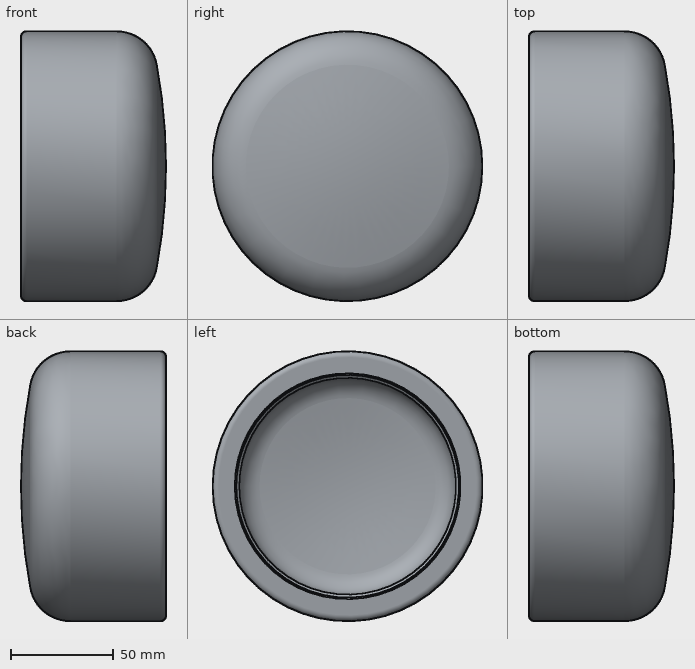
import cadquery as cq
import math

outer_radius = 66.0
length = 71.0
rim_fillet = 2.9
shoulder_radius = 20.0
crown_radius = 271.9

bore_radius = 54.4
mouth_chamfer = 0.8
bore_depth = 41.3
step_fillet = 2.1
seat_radius = 53.0
cavity_corner_radius = 12.0
crown_wall = 14.0
cavity_crown_radius = crown_radius - crown_wall


def domed_cylinder(radius, apex_x, corner_radius, dome_radius):
    """Solid from x = 0 whose side blends tangentially into a shallow dome."""
    dome_center_x = apex_x - dome_radius
    corner_center_r = radius - corner_radius
    center_distance = dome_radius - corner_radius
    angle = math.asin(corner_center_r / center_distance)
    corner_center_x = dome_center_x + center_distance * math.cos(angle)

    def corner_point(direction):
        return (
            corner_center_x + corner_radius * math.cos(direction),
            corner_center_r + corner_radius * math.sin(direction),
        )

    dome_middle = (
        dome_center_x + dome_radius * math.cos(angle / 2),
        dome_radius * math.sin(angle / 2),
    )
    return (
        cq.Workplane("XY")
        .moveTo(0, 0)
        .lineTo(0, radius)
        .lineTo(corner_center_x, radius)
        .threePointArc(corner_point((angle + math.pi / 2) / 2), corner_point(angle))
        .threePointArc(dome_middle, (apex_x, 0))
        .close()
        .revolve(360, (0, 0, 0), (1, 0, 0))
    )


def outer_body():
    body = domed_cylinder(outer_radius, length, shoulder_radius, crown_radius)
    return body.faces("<X").edges().fillet(rim_fillet)


def cavity():
    inner_dome = domed_cylinder(
        seat_radius, length - crown_wall, cavity_corner_radius, cavity_crown_radius
    )
    bore = cq.Workplane("YZ").circle(bore_radius).extrude(bore_depth + step_fillet)
    bore = bore.faces(">X").edges().fillet(step_fillet)
    mouth = (
        cq.Workplane("YZ")
        .circle(bore_radius + mouth_chamfer)
        .extrude(mouth_chamfer, taper=45)
    )
    return inner_dome.union(bore).union(mouth)


result = outer_body().cut(cavity())